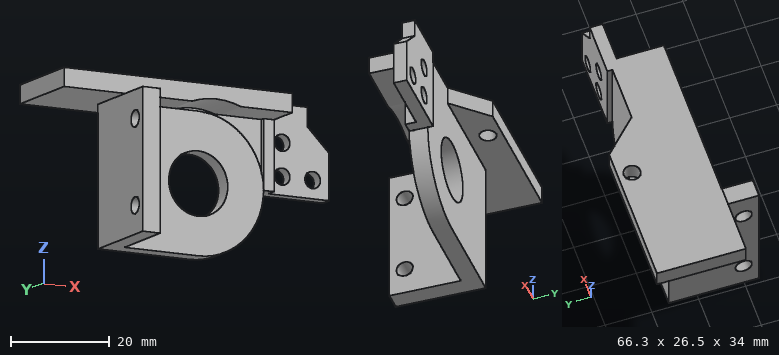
import cadquery as cq


total_length = 66.28
total_depth = 26.5
total_height = 33.98

plate_thickness = 4.0
screw_hole_diameter = 3.5
frame_height = total_height - plate_thickness
frame_top = frame_height / 2

web_back = 19.3
web_front = web_back - plate_thickness
web_radius = frame_height / 2
bore_diameter = 13.5

filler_thickness = 3.0

side_left = -20.95
side_hole_y = 3.3
side_hole_spacing = 18.0

top_left = -35.0
top_right = 17.4
top_front = 7.5
top_step_depth = total_depth - web_back
top_bevel_start = -4.4
top_hole_x = -10.1
top_hole_y = 23.5
relief_radius = 16.0
relief_back = web_front + plate_thickness / 2

ear_left = web_radius
ear_right = top_left + total_length
ear_front = 17.6
ear_thickness = 2.8
ear_bottom = 0.1
ear_shoulder = 5.0
ear_corner_hole_x = 20.5
ear_corner_hole_z = 4.0
ear_hole_spacing = 7.0


def box_between(x_range, y_range, z_range):
    """Box spanning the given (low, high) ranges."""
    low = [limits[0] for limits in (x_range, y_range, z_range)]
    size = [limits[1] - limits[0] for limits in (x_range, y_range, z_range)]
    return cq.Workplane("XY").box(*size, centered=False).translate(tuple(low))


def front_plane(y):
    """XZ plane at depth y; positive extrusion runs toward -Y."""
    return cq.Workplane("XZ", origin=(0, y, 0))


def make_web():
    return (
        front_plane(web_back)
        .moveTo(side_left, -web_radius)
        .lineTo(0, -web_radius)
        .threePointArc((web_radius, 0), (0, web_radius))
        .lineTo(side_left, web_radius)
        .close()
        .extrude(plate_thickness)
    )


def make_corner_filler():
    return box_between((0, web_radius), (web_back - filler_thickness, web_back), (0, frame_top))


def make_side_plate():
    plate = box_between(
        (side_left, side_left + plate_thickness), (0, web_back), (-frame_top, frame_top)
    )
    holes = (
        cq.Workplane("YZ", origin=(side_left, 0, 0))
        .pushPoints([(side_hole_y, side * side_hole_spacing / 2) for side in (-1, 1)])
        .circle(screw_hole_diameter / 2)
        .extrude(plate_thickness)
    )
    return plate.cut(holes)


def make_top_plate():
    plate = (
        cq.Workplane("XY", origin=(0, 0, frame_top))
        .moveTo(top_left, top_front)
        .lineTo(top_right, top_front)
        .lineTo(top_right, web_back)
        .lineTo(top_bevel_start + top_step_depth, web_back)
        .lineTo(top_bevel_start, total_depth)
        .lineTo(top_left, total_depth)
        .close()
        .extrude(plate_thickness)
    )
    hole = (
        cq.Workplane("XY", origin=(top_hole_x, top_hole_y, frame_top))
        .circle(screw_hole_diameter / 2)
        .extrude(plate_thickness)
    )
    relief = front_plane(relief_back).circle(relief_radius).extrude(relief_back - top_front)
    return plate.cut(hole).cut(relief)


def make_ear():
    ear_top = frame_top + plate_thickness
    ear = (
        front_plane(ear_front + ear_thickness)
        .moveTo(ear_left, ear_bottom)
        .lineTo(ear_right, ear_bottom)
        .lineTo(ear_right, frame_top - ear_shoulder)
        .lineTo(ear_right - ear_shoulder, frame_top)
        .lineTo(ear_right - ear_shoulder, ear_top)
        .lineTo(ear_left, ear_top)
        .close()
        .extrude(ear_thickness)
    )
    hole_centers = [
        (ear_corner_hole_x, ear_corner_hole_z),
        (ear_corner_hole_x + ear_hole_spacing, ear_corner_hole_z),
        (ear_corner_hole_x, ear_corner_hole_z + ear_hole_spacing),
    ]
    holes = (
        front_plane(ear_front + ear_thickness)
        .pushPoints(hole_centers)
        .circle(screw_hole_diameter / 2)
        .extrude(ear_thickness)
    )
    return ear.cut(holes)


def make_ear_post():
    return box_between((ear_left, top_right), (web_front, web_back), (ear_bottom, frame_top))


def make_bore():
    return front_plane(web_back).circle(bore_diameter / 2).extrude(plate_thickness)


body = make_web()
for piece in (make_corner_filler(), make_side_plate(), make_top_plate(), make_ear(), make_ear_post()):
    body = body.union(piece)

result = body.cut(make_bore())